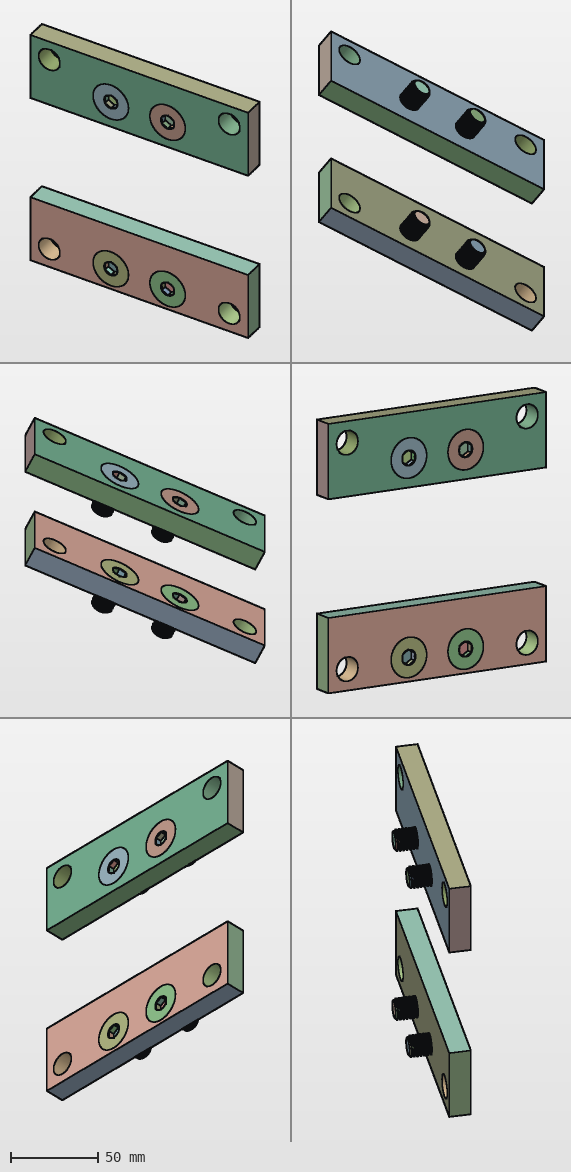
import cadquery as cq
import math

PLATE_LENGTH = 146.0
PLATE_THICKNESS = 12.7
PLATE_HEIGHT = 44.5
OVERALL_HEIGHT = 158.7
MOUNT_HOLE_DIAMETER = 14.3
MOUNT_HOLE_INSET = 12.7

SCREW_SPACING = 38.1
SCREW_PAIR_CENTRE_X = PLATE_LENGTH / 2
UPPER_SCREW_DROP = 27.0
LOWER_SCREW_RISE = 14.3

SCREW_LENGTH = 25.4
HEAD_DIAMETER = 23.8
HEAD_ANGLE = 82.0
SHANK_DIAMETER = 12.7
TIP_CHAMFER = 1.3
SOCKET_ACROSS_FLATS = 8.0
SOCKET_DEPTH = 4.0
SOCKET_MOUTH_ANGLE = 30.0

THREADS_PER_SCREW_LENGTH = 13
THREAD_START = 11.0
THREAD_DEPTH = 1.1
THREAD_ROOT_HALF_WIDTH = 0.22
THREAD_FLANK_ANGLE = 30.0
FLANK_STEPS = 8
CUTTER_OVERHANG = 0.8

SHANK_RADIUS = SHANK_DIAMETER / 2
HEAD_RADIUS = HEAD_DIAMETER / 2
HEAD_HEIGHT = (HEAD_RADIUS - SHANK_RADIUS) / math.tan(math.radians(HEAD_ANGLE / 2))
SOCKET_CORNER_RADIUS = SOCKET_ACROSS_FLATS / 2 / math.cos(math.radians(30))
THREAD_PITCH = SCREW_LENGTH / THREADS_PER_SCREW_LENGTH

SCREW_XS = [SCREW_PAIR_CENTRE_X + side * SCREW_SPACING / 2 for side in (-1, 1)]
UPPER_SCREW_Z = OVERALL_HEIGHT - UPPER_SCREW_DROP
LOWER_SCREW_Z = LOWER_SCREW_RISE


def revolve_about_y(points):
    """Revolve a closed (radius, y) outline about the Y axis."""
    return cq.Workplane("XY").polyline(points).close().revolve(360, (0, 0), (0, 1))


def cylinder_along_y(diameter, length):
    """Cylinder from y = 0 toward +Y."""
    return cq.Workplane("XZ").circle(diameter / 2).extrude(-length)


def head_cone():
    """Countersunk head, also the matching countersink in the plate."""
    return revolve_about_y([
        (0, 0),
        (HEAD_RADIUS, 0),
        (SHANK_RADIUS, HEAD_HEIGHT),
        (0, HEAD_HEIGHT),
    ])


def plain_screw():
    """Countersunk head and the plain part of the shank, up to the start of the thread."""
    return head_cone().union(cylinder_along_y(SHANK_DIAMETER, THREAD_START))


def thread_section():
    """Cross-section of the thread: crest and root arcs joined by spiral flanks, root toward +X."""
    root_radius = SHANK_RADIUS - THREAD_DEPTH
    flank_run = THREAD_DEPTH * math.tan(math.radians(THREAD_FLANK_ANGLE))
    root_angle = 2 * math.pi * THREAD_ROOT_HALF_WIDTH / THREAD_PITCH
    crest_angle = root_angle + 2 * math.pi * flank_run / THREAD_PITCH

    def on_flank(fraction, side):
        """Point a fraction of the way from root to crest on the flank at side +1 or -1."""
        radius = root_radius + fraction * THREAD_DEPTH
        angle = side * (root_angle + fraction * (crest_angle - root_angle))
        return (radius * math.cos(angle), radius * math.sin(angle))

    steps = [step / FLANK_STEPS for step in range(FLANK_STEPS + 1)]
    return (
        cq.Workplane("XY")
        .moveTo(*on_flank(0, -1))
        .threePointArc((root_radius, 0), on_flank(0, 1))
        .spline([on_flank(step, 1) for step in steps])
        .threePointArc((-SHANK_RADIUS, 0), on_flank(1, -1))
        .spline([on_flank(step, -1) for step in reversed(steps)])
        .close()
    )


def threaded_end():
    """Right-hand thread from the plain shank to the chamfered tip."""
    length = SCREW_LENGTH - THREAD_START
    thread = (
        thread_section()
        .twistExtrude(length, 360 * length / THREAD_PITCH)
        .rotate((0, 0, 0), (1, 0, 0), -90)
        .translate((0, THREAD_START, 0))
    )
    chamfer_cutter = revolve_about_y([
        (SHANK_RADIUS - TIP_CHAMFER - CUTTER_OVERHANG, SCREW_LENGTH + CUTTER_OVERHANG),
        (SHANK_RADIUS + CUTTER_OVERHANG, SCREW_LENGTH - TIP_CHAMFER - CUTTER_OVERHANG),
        (SHANK_RADIUS + CUTTER_OVERHANG, SCREW_LENGTH + CUTTER_OVERHANG),
    ])
    return thread.cut(chamfer_cutter)


def hex_socket():
    """Hexagonal recess with two corners along Z, its mouth coned out to the corners."""
    recess = (
        cq.Workplane("XZ")
        .polygon(6, 2 * SOCKET_CORNER_RADIUS)
        .extrude(-SOCKET_DEPTH)
        .rotate((0, 0, 0), (0, 1, 0), 30)
    )
    mouth_depth = SOCKET_CORNER_RADIUS * math.tan(math.radians(SOCKET_MOUTH_ANGLE))
    mouth = revolve_about_y([(0, 0), (SOCKET_CORNER_RADIUS, 0), (0, mouth_depth)])
    return recess.union(mouth)


def make_screw():
    """Screw along +Y with the centre of its head face at the origin."""
    return plain_screw().union(threaded_end()).cut(hex_socket())


def make_plate(bottom_z, mount_hole_z, screw_z):
    """Bar with a mounting hole near each end and two countersunk screw holes."""
    plate = (
        cq.Workplane("XY")
        .box(PLATE_LENGTH, PLATE_THICKNESS, PLATE_HEIGHT, centered=False)
        .translate((0, 0, bottom_z))
    )
    mount_hole = cylinder_along_y(MOUNT_HOLE_DIAMETER, PLATE_THICKNESS)
    for x in (MOUNT_HOLE_INSET, PLATE_LENGTH - MOUNT_HOLE_INSET):
        plate = plate.cut(mount_hole.translate((x, 0, mount_hole_z)))
    screw_hole = cylinder_along_y(SHANK_DIAMETER, PLATE_THICKNESS).union(head_cone())
    for x in SCREW_XS:
        plate = plate.cut(screw_hole.translate((x, 0, screw_z)))
    return plate


upper_plate = make_plate(
    bottom_z=OVERALL_HEIGHT - PLATE_HEIGHT,
    mount_hole_z=OVERALL_HEIGHT - MOUNT_HOLE_INSET,
    screw_z=UPPER_SCREW_Z,
)
lower_plate = make_plate(bottom_z=0, mount_hole_z=MOUNT_HOLE_INSET, screw_z=LOWER_SCREW_Z)

screw = make_screw()
screws = [screw.translate((x, 0, z)) for z in (UPPER_SCREW_Z, LOWER_SCREW_Z) for x in SCREW_XS]

result = cq.Compound.makeCompound([
    upper_plate.val(),
    lower_plate.val(),
    *[placed_screw.val() for placed_screw in screws],
])